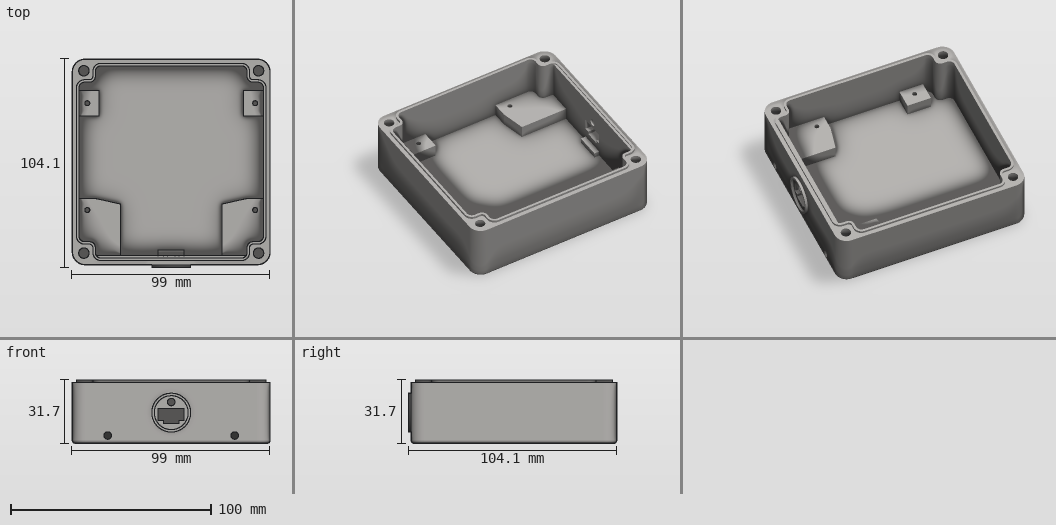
import cadquery as cq

BODY_X = 99.0
BODY_Y = 102.9
BODY_Z = 30.5
CORNER_RADIUS = 6.5
BASE_FILLET = 1.7
FLOOR_Z = 3.5
FRONT_Y = -BODY_Y / 2

LIP_INSET = 2.1
LIP_WIDTH = 1.2
LIP_HEIGHT = 1.2
LIP_TOP_Z = BODY_Z + LIP_HEIGHT
NOTCH_SIZE = 8.2
LIP_SHOULDER_RADIUS = 4.2
LIP_NOTCH_RADIUS = 1.7

CAVITY_INSET = LIP_INSET + LIP_WIDTH
CAVITY_HALF_X = BODY_X / 2 - CAVITY_INSET

LINER_WIDTH = 1.2
LINER_TOP_Z = LIP_TOP_Z - 0.6
INNER_FRONT_Y = FRONT_Y + CAVITY_INSET + LINER_WIDTH

LID_HOLE_DIAMETER = 5.2
LID_HOLE_DEPTH = 20.8
LID_HOLE_X = BODY_X / 2 - 5.8
LID_HOLE_Y = BODY_Y / 2 - 5.8

PAD_TOP_Z = 10.2
PAD_HOLE_DIAMETER = 2.5
PAD_HOLE_DEPTH = 5.2
PAD_HOLE_X = 42.0
REAR_PAD_INNER_X = CAVITY_HALF_X - 10.0
REAR_PAD_BACK_Y = 35.7
REAR_PAD_FRONT_Y = 22.9
REAR_PAD_HOLE_Y = 29.4
FRONT_PAD_INNER_X = 25.4
FRONT_PAD_BEND_X = 38.1
FRONT_PAD_BACK_Y = -18.2
FRONT_PAD_INNER_BACK_Y = -21.0
FRONT_PAD_HOLE_Y = -24.1

BEZEL_DIAMETER = 19.5
BEZEL_BORE = 17.0
BEZEL_HEIGHT = 1.2
BEZEL_Z = 15.4
BEZEL_FRONT_Y = FRONT_Y - BEZEL_HEIGHT
LIGHT_HOLE_DIAMETER = 3.7
LIGHT_HOLE_Z = 20.7
SOCKET_WIDTH = 13.0
SOCKET_TOP_Z = 17.4
SOCKET_SHOULDER_Z = 11.6
KEYWAY_WIDTH = 7.9
KEYWAY_BOTTOM_Z = 9.9

SILL_LENGTH = 2.8
SILL_TOP_Z = 6.2

ANCHOR_HOLE_DIAMETER = 3.7
ANCHOR_HOLE_X = 31.8
ANCHOR_HOLE_Z = 4.0
ANCHOR_HOLE_DEPTH = 10.4

SIDES = (-1, 1)


def block(x_range, y_range, z_range):
    """Box between two X, two Y and two Z positions, each given low to high."""
    lows, highs = zip(x_range, y_range, z_range)
    sizes = [high - low for low, high in zip(lows, highs)]
    return cq.Workplane("XY").box(*sizes, centered=False).translate(lows)


def centred_block(width, y_range, z_range):
    return block((-width / 2, width / 2), y_range, z_range)


def cylinder_down(x, y, diameter, top_z, depth):
    return cq.Workplane("XY", origin=(x, y, top_z)).circle(diameter / 2).extrude(-depth)


def cylinder_back(x, z, diameter, front_y, back_y):
    return cq.Workplane("XZ", origin=(x, front_y, z)).circle(diameter / 2).extrude(front_y - back_y)


def notched_prism(inset, top_z):
    """Prism on the floor: a rectangle set in from the body, with a rounded bite at each corner."""
    half_x = BODY_X / 2 - inset
    half_y = BODY_Y / 2 - inset
    shrink = inset - LIP_INSET
    prism = block((-half_x, half_x), (-half_y, half_y), (FLOOR_Z, top_z))
    bite = cq.Workplane("XY").box(2 * NOTCH_SIZE, 2 * NOTCH_SIZE, 3 * top_z)
    bite = bite.edges("|Z").fillet(LIP_NOTCH_RADIUS + shrink)
    for side_x in SIDES:
        for side_y in SIDES:
            prism = prism.cut(bite.translate((side_x * half_x, side_y * half_y, 0)))
    side_faces = prism.faces("<X or >X or <Y or >Y")
    return side_faces.edges("|Z").fillet(LIP_SHOULDER_RADIUS - shrink)


def rear_pad():
    """Rectangular pad on the +X side."""
    return block(
        (REAR_PAD_INNER_X, CAVITY_HALF_X),
        (REAR_PAD_FRONT_Y, REAR_PAD_BACK_Y),
        (FLOOR_Z, PAD_TOP_Z),
    )


def front_pad():
    """Pad on the +X side that fills the front corner and has a slanted back edge."""
    outline = [
        (CAVITY_HALF_X, INNER_FRONT_Y),
        (CAVITY_HALF_X, FRONT_PAD_BACK_Y),
        (FRONT_PAD_BEND_X, FRONT_PAD_BACK_Y),
        (FRONT_PAD_INNER_X, FRONT_PAD_INNER_BACK_Y),
        (FRONT_PAD_INNER_X, INNER_FRONT_Y),
    ]
    base = cq.Workplane("XY", origin=(0, 0, FLOOR_Z))
    return base.polyline(outline).close().extrude(PAD_TOP_Z - FLOOR_Z)


def cavity():
    """Space inside the case, less everything that stands in it."""
    space = notched_prism(CAVITY_INSET, LIP_TOP_Z)
    space = space.cut(centred_block(BODY_X, (FRONT_Y, INNER_FRONT_Y), (FLOOR_Z, LINER_TOP_Z)))
    sill_y_range = (INNER_FRONT_Y, INNER_FRONT_Y + SILL_LENGTH)
    space = space.cut(centred_block(SOCKET_WIDTH, sill_y_range, (FLOOR_Z, SILL_TOP_Z)))
    for pad in (rear_pad(), front_pad()):
        space = space.cut(pad).cut(pad.mirror("YZ"))
    return space


def socket_openings():
    """Round recess in the bezel, and the light hole and stepped opening through the front wall."""
    y_range = (BEZEL_FRONT_Y, INNER_FRONT_Y)
    openings = cylinder_back(0, BEZEL_Z, BEZEL_BORE, BEZEL_FRONT_Y, FRONT_Y)
    openings = openings.union(cylinder_back(0, LIGHT_HOLE_Z, LIGHT_HOLE_DIAMETER, *y_range))
    openings = openings.union(centred_block(SOCKET_WIDTH, y_range, (SOCKET_SHOULDER_Z, SOCKET_TOP_Z)))
    return openings.union(centred_block(KEYWAY_WIDTH, y_range, (KEYWAY_BOTTOM_Z, SOCKET_TOP_Z)))


def anchor_hole(x):
    """Hole along +Y whose end face slopes so that it reaches deepest at the bottom."""
    radius = ANCHOR_HOLE_DIAMETER / 2
    end_y = FRONT_Y + ANCHOR_HOLE_DEPTH
    hole = cylinder_back(x, ANCHOR_HOLE_Z, ANCHOR_HOLE_DIAMETER, FRONT_Y, end_y + radius)
    wedge = (
        cq.Workplane("YZ", origin=(x, end_y, ANCHOR_HOLE_Z))
        .polyline([(-radius, radius), (radius, -radius), (radius, radius)])
        .close()
        .extrude(radius, both=True)
    )
    return hole.cut(wedge)


result = centred_block(BODY_X, (FRONT_Y, -FRONT_Y), (0, BODY_Z))
result = result.edges("|Z").fillet(CORNER_RADIUS)
result = result.faces("<Z").edges().fillet(BASE_FILLET)
result = result.union(notched_prism(LIP_INSET, LIP_TOP_Z))
result = result.cut(cavity())

result = result.union(cylinder_back(0, BEZEL_Z, BEZEL_DIAMETER, BEZEL_FRONT_Y, FRONT_Y))
result = result.cut(socket_openings())

for side_x in SIDES:
    result = result.cut(anchor_hole(side_x * ANCHOR_HOLE_X))
    for hole_y in (REAR_PAD_HOLE_Y, FRONT_PAD_HOLE_Y):
        pad_hole = cylinder_down(side_x * PAD_HOLE_X, hole_y, PAD_HOLE_DIAMETER, PAD_TOP_Z, PAD_HOLE_DEPTH)
        result = result.cut(pad_hole)
    for side_y in SIDES:
        lid_hole = cylinder_down(
            side_x * LID_HOLE_X, side_y * LID_HOLE_Y, LID_HOLE_DIAMETER, BODY_Z, LID_HOLE_DEPTH
        )
        result = result.cut(lid_hole)